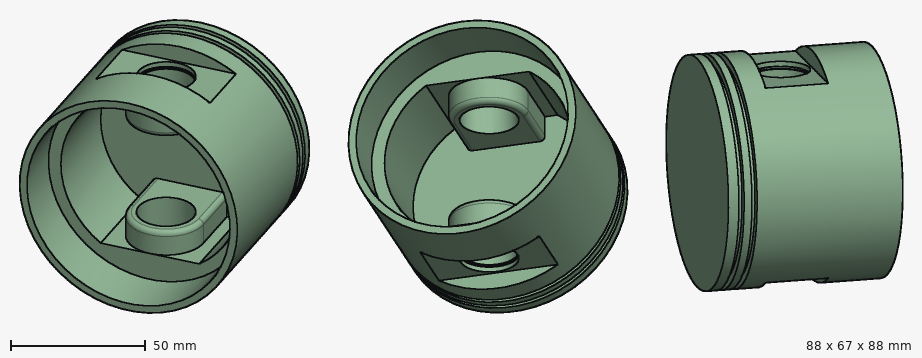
import cadquery as cq


outer_radius = 44.0
length = 67.0
crown_y = length / 2
skirt_y = -length / 2

groove_radius = 41.0
groove_width = 2.0
groove_starts = (4.0, 9.0)

skirt_bore_radius = 41.0
skirt_bore_depth = 20.0
chamber_radius = 36.0
flat_height = 30.0
crown_thickness = 10.0
chamber_floor_y = crown_y - crown_thickness

pin_y = crown_y - 32.0
boss_radius = 15.0
boss_inner_height = 20.0
boss_overlap = 2.0
boss_root_height = flat_height + boss_overlap
boss_crown_y = chamber_floor_y + boss_overlap
boss_fillet = 2.0
pin_radius = 11.0

clip_groove_radius = 11.8
clip_groove_width = 1.0
clip_groove_height = 34.5

recess_height = 37.5
recess_width = 24.0


def cylinder_along_y(radius, y_start, y_end):
    """Cylinder on the piston axis between two Y positions."""
    axis = cq.Vector(0, 1, 0)
    start = cq.Vector(0, y_start, 0)
    return cq.Workplane(cq.Solid.makeCylinder(radius, y_end - y_start, start, axis))


def cylinder_along_pin(radius, z_start, z_end):
    """Cylinder on the pin axis between two Z positions."""
    return cq.Workplane("XY", origin=(0, pin_y, z_start)).circle(radius).extrude(z_end - z_start)


def ring_groove(start):
    """Ring of material removed for one piston ring."""
    y_end = crown_y - start
    y_start = y_end - groove_width
    return cylinder_along_y(outer_radius, y_start, y_end).cut(
        cylinder_along_y(groove_radius, y_start, y_end)
    )


def chamber():
    """Round chamber limited by a flat above and below."""
    round_part = cylinder_along_y(chamber_radius, skirt_y, chamber_floor_y)
    between_flats = cq.Workplane("XY").box(2 * outer_radius, 2 * length, 2 * flat_height)
    return round_part.intersect(between_flats)


def pin_boss():
    """Upper pin boss: half round on the skirt side, straight sides running into the crown."""
    return (
        cq.Workplane("XY", origin=(0, 0, boss_inner_height))
        .moveTo(-boss_radius, boss_crown_y)
        .lineTo(-boss_radius, pin_y)
        .threePointArc((0, pin_y - boss_radius), (boss_radius, pin_y))
        .lineTo(boss_radius, boss_crown_y)
        .close()
        .extrude(boss_root_height - boss_inner_height)
        .faces("<Z")
        .edges("not >Y")
        .fillet(boss_fillet)
    )


def side_recess():
    """Block that cuts the flat recess at the upper end of the pin bore."""
    depth = outer_radius - recess_height
    block = cq.Workplane("XY").box(2 * outer_radius, recess_width, depth)
    return block.translate((0, pin_y, recess_height + depth / 2))


def clip_groove():
    """Disc that cuts the upper retaining clip groove."""
    z_end = clip_groove_height + clip_groove_width
    return cylinder_along_pin(clip_groove_radius, clip_groove_height, z_end)


piston = cylinder_along_y(outer_radius, skirt_y, crown_y)
for groove_start in groove_starts:
    piston = piston.cut(ring_groove(groove_start))

piston = piston.cut(cylinder_along_y(skirt_bore_radius, skirt_y, skirt_y + skirt_bore_depth))
piston = piston.cut(chamber())

piston = piston.union(pin_boss()).union(pin_boss().mirror("XY"))
for cutter in (side_recess(), clip_groove()):
    piston = piston.cut(cutter).cut(cutter.mirror("XY"))

result = piston.cut(cylinder_along_pin(pin_radius, -outer_radius, outer_radius))